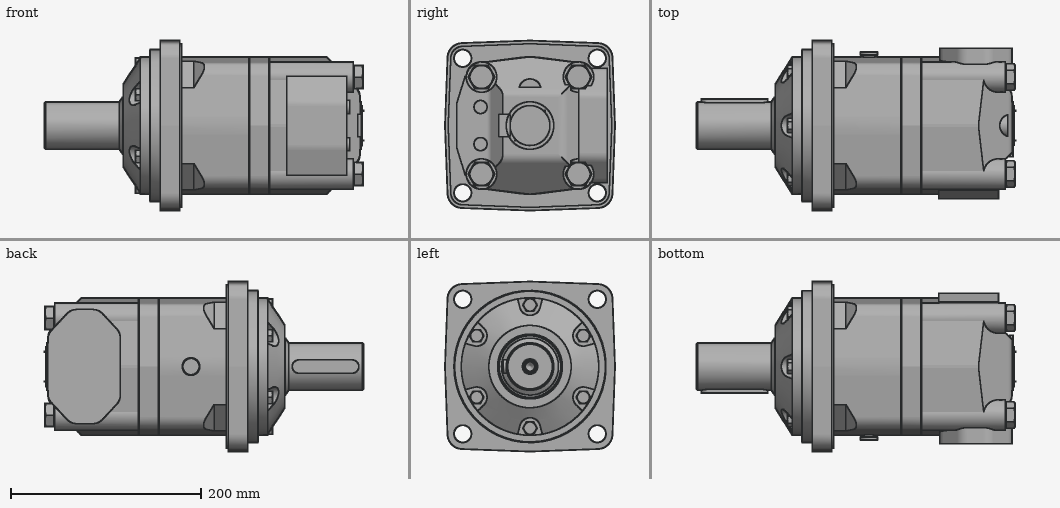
import cadquery as cq
import math


OVERALL_LENGTH = 335.5
SHAFT_TIP = -121.7
SHAFT_SHOULDER = -43.0
COVER_FRONT = -39.0
CONE_END = -20.8
PILOT_FRONT = -11.1
FLANGE_BACK = 20.7
FLANGE_STEP_BACK = 22.7
HOUSING_BACK = 93.0
RING_BACK = 115.0
POST_BACK = 203.0
REAR_FACE = 210.1
CAP_BACK = 212.6
RIVET_BACK = SHAFT_TIP + OVERALL_LENGTH

SIDE_REACH = 72.3
BOLT_OFFSET = 51.0
CORNER_RADIUS = 30.29 / 2

RING_LIP_WIDTH = 1.0
RING_LIP_INSET = 0.5

SHAFT_RADIUS = 25.0
SHAFT_CHAMFER = 1.5
JOURNAL_RADIUS = 30.0
JOURNAL_START = -39.5
SHAFT_INNER_END = 15.0
CENTRE_HOLE_DIAMETER = 10.11
CENTRE_HOLE_DEPTH = 25.0
COUNTERSINK_DIAMETER = 16.0
RECESS_DIAMETER = 13.0
RECESS_DEPTH = 4.5
KEY_START = -116.7
KEY_LENGTH = 70.0
KEY_WIDTH = 14.0
KEY_BOTTOM = 19.0
KEY_TOP = 28.0

COVER_FACE_RADIUS = 43.3
SEAL_RECESS_RADIUS = 32.4
SEAL_RECESS_DEPTH = 3.0
SEAL_STEP_RADIUS = 34.1
SEAL_STEP_DEPTH = 1.5
SCREW_COUNT = 6
SCREW_CIRCLE_RADIUS = 64.7
SCREW_ACROSS_FLATS = 13.0
SCREW_HEAD_HEIGHT = 5.2
SCREW_POCKET_RADIUS = 10.9
SCREW_POCKET_FLARE = math.radians(15)
SCREW_POCKET_REACH = 20.0

FLANGE_WIDTH = 179.0
FLANGE_SIDE_SAG = 3.2
FLANGE_CORNER_RADIUS = 16.0
FLANGE_STEP_INSET = 3.5
FLANGE_HOLE_DIAMETER = 18.0
FLANGE_BOLT_CIRCLE = 200.0
FLANGE_HOLE_OFFSET = FLANGE_BOLT_CIRCLE / 2 * math.sqrt(0.5)
PILOT_RADIUS = 80.0
PILOT_CHAMFER = 0.8
RELIEF_DEPTH_REACH = 76.1
RELIEF_FLAT_END = 35.3
RELIEF_RAMP_END = 46.6

PLUG_X = 59.7
PLUG_HEAD_DIAMETER = 18.4
PLUG_NECK_DIAMETER = 17.0
PLUG_BOTTOM = 62.0
PLUG_HEAD_BOTTOM = 73.8
PLUG_TOP = 77.6
PLUG_CHAMFER = 0.6

RIDGE_HALF_WIDTH = 1.6
SLOPE_START = 174.9
SLOPE_ANGLE = math.radians(46.3)
SLOPE_BLEND_RADIUS = 13.5
POST_RADIUS = 16.0
BOLT_WASHER_RADIUS = 12.0
BOLT_WASHER_THICKNESS = 1.0
BOLT_ACROSS_FLATS = 24.4
BOLT_HEAD_HEIGHT = 9.2

PORT_START = 133.0
PORT_END = 196.0
PORT_REACH = 77.1
PORT_HALF_FLAT = 23.2
PORT_HALF_HEIGHT = 52.0
PORT_SLANT_DROP = 9.0
PORT_EDGE_RADIUS = 17.0
PORT_PLUG_DIAMETER = 13.84
PORT_PLUG_SPACING = 39.0
PORT_PLUG_DEPTH = 52.0
PORT_PLUG_END = 199.0

PORT_SLOPE_REACH = 28.5
PORT_BLOCK_BASE = 38.0
END_PAD_REACH = 33.0
END_PAD_DEPTH = 12.0
END_PAD_WIDTH = 24.0
END_PAD_CORNER_RADIUS = 1.5
END_PAD_FRONT = 207.8
END_PAD_BACK = 211.2
PORT_ROOT_RADIUS = 5.8

VALVE_START = 134.0
VALVE_END = REAR_FACE
VALVE_REACH = 81.4
VALVE_HALF_HEIGHT = 60.0
VALVE_TOP_START = 156.8
VALVE_TOP_END = 186.0
VALVE_SLOPE_TAN = math.tan(math.radians(47))
VALVE_EDGE_RADIUS = 14.0

SLOPE_BOSS_RADIUS = 11.7
SLOPE_BOSS_OFFSET = 37.3
SLOPE_BOSS_END = 205.5

CAP_RADIUS = 25.0
CAP_TOP_RADIUS = 21.0
CAP_STEP_BACK = 211.4
RIVET_OFFSET = 15.7
RIVET_DIAMETER = 1.0


def section(x):
    """Workplane across the motor axis at x: local axes are Y and Z, normal +X."""
    return cq.Workplane("YZ", origin=(x, 0, 0))


def turned(points):
    """Solid of revolution about the motor axis from (x, radius) points."""
    return cq.Workplane("XY").polyline(points).close().revolve(360, (0, 0, 0), (1, 0, 0))


def corner_points(offset):
    return [(y, z) for y in (-offset, offset) for z in (-offset, offset)]


def slant_angle(a, b, c):
    """Smallest angle t with a * sin(t) + b * cos(t) = c."""
    return math.asin(c / math.hypot(a, b)) - math.atan2(b, a)


def body_prism(x_start, x_end, slant, ridge, corner_radius=CORNER_RADIUS):
    """Four-sided prism with slanted sides, round corners and a ridge along the middle of each side.

    `slant` is the tilt of the half sides and `ridge` lists the (across, outward) points of one
    side's ridge: one point for a sharp edge, two for a flat, three for an arc.
    """
    across = BOLT_OFFSET + corner_radius * math.sin(slant)
    outward = BOLT_OFFSET + corner_radius * math.cos(slant)
    corner_middle = BOLT_OFFSET + corner_radius * math.sqrt(0.5)

    def turn(point, quarter):
        angle = -quarter * math.pi / 2
        y, z = point
        return (
            y * math.cos(angle) - z * math.sin(angle),
            y * math.sin(angle) + z * math.cos(angle),
        )

    outline = section(x_start).moveTo(-across, outward)
    for quarter in range(4):
        ridge_points = [turn(point, quarter) for point in ridge]
        outline = outline.lineTo(*ridge_points[0])
        if len(ridge_points) == 2:
            outline = outline.lineTo(*ridge_points[1])
        if len(ridge_points) == 3:
            outline = outline.threePointArc(*ridge_points[1:])
        outline = outline.lineTo(*turn((across, outward), quarter))
        outline = outline.threePointArc(
            turn((corner_middle, corner_middle), quarter), turn((outward, across), quarter)
        )
    return outline.close().extrude(x_end - x_start)


def hex_head(x_start, x_tip, y, z, across_flats):
    """Hexagon head from x_start to its chamfered end at x_tip, with flats facing +Z and -Z."""
    corner_radius = across_flats / 2 / math.cos(math.pi / 6)
    height = abs(x_tip - x_start)
    direction = math.copysign(1, x_tip - x_start)
    chamfer = (corner_radius - across_flats / 2) * math.tan(math.pi / 6)
    rounding = (
        cq.Workplane("XY")
        .polyline([
            (0, 0),
            (0, corner_radius),
            (direction * (height - chamfer), corner_radius),
            (direction * height, across_flats / 2),
            (direction * height, 0),
        ])
        .close()
        .revolve(360, (0, 0, 0), (1, 0, 0))
    )
    hexagon = section(0).polygon(6, 2 * corner_radius).extrude(direction * height)
    return hexagon.intersect(rounding).translate((x_start, y, z))


def make_key():
    middle = KEY_START + KEY_LENGTH / 2
    plane = cq.Plane(origin=(middle, KEY_BOTTOM, 0), xDir=(1, 0, 0), normal=(0, 1, 0))
    return cq.Workplane(plane).slot2D(KEY_LENGTH, KEY_WIDTH).extrude(KEY_TOP - KEY_BOTTOM)


def make_shaft(key):
    shaft = turned([
        (SHAFT_TIP, 0),
        (SHAFT_TIP, SHAFT_RADIUS - SHAFT_CHAMFER),
        (SHAFT_TIP + SHAFT_CHAMFER, SHAFT_RADIUS),
        (SHAFT_SHOULDER, SHAFT_RADIUS),
        (JOURNAL_START, JOURNAL_RADIUS),
        (SHAFT_INNER_END, JOURNAL_RADIUS),
        (SHAFT_INNER_END, 0),
    ])
    hole_radius = CENTRE_HOLE_DIAMETER / 2
    countersink_radius = COUNTERSINK_DIAMETER / 2
    recess_radius = RECESS_DIAMETER / 2
    recess_end = SHAFT_TIP + RECESS_DEPTH
    hole_end = SHAFT_TIP + CENTRE_HOLE_DEPTH
    centre_hole = turned([
        (SHAFT_TIP, 0),
        (SHAFT_TIP, countersink_radius),
        (SHAFT_TIP + countersink_radius - recess_radius, recess_radius),
        (recess_end, recess_radius),
        (recess_end + recess_radius - hole_radius, hole_radius),
        (hole_end, hole_radius),
        (hole_end + hole_radius, 0),
    ])
    return shaft.cut(centre_hole).cut(key)


def screw_pocket():
    """Cutter for the top screw: round towards the axis, flaring open towards the rim."""
    half_inner = SCREW_POCKET_RADIUS * math.cos(SCREW_POCKET_FLARE)
    tangent_z = SCREW_CIRCLE_RADIUS - SCREW_POCKET_RADIUS * math.sin(SCREW_POCKET_FLARE)
    half_outer = half_inner + SCREW_POCKET_REACH * math.tan(SCREW_POCKET_FLARE)
    outer_z = tangent_z + SCREW_POCKET_REACH
    return (
        section(COVER_FRONT)
        .moveTo(-half_inner, tangent_z)
        .threePointArc((0, SCREW_CIRCLE_RADIUS - SCREW_POCKET_RADIUS), (half_inner, tangent_z))
        .lineTo(half_outer, outer_z)
        .lineTo(-half_outer, outer_z)
        .close()
        .extrude(CONE_END - COVER_FRONT)
    )


def make_cover():
    recess_floor = COVER_FRONT + SEAL_RECESS_DEPTH
    step_floor = COVER_FRONT + SEAL_STEP_DEPTH
    cover = turned([
        (COVER_FRONT, SEAL_STEP_RADIUS),
        (COVER_FRONT, COVER_FACE_RADIUS),
        (CONE_END, SIDE_REACH),
        (PILOT_FRONT, SIDE_REACH),
        (PILOT_FRONT, JOURNAL_RADIUS),
        (recess_floor, JOURNAL_RADIUS),
        (recess_floor, SEAL_RECESS_RADIUS),
        (step_floor, SEAL_RECESS_RADIUS),
        (step_floor, SEAL_STEP_RADIUS),
    ])
    pocket = screw_pocket()
    for i in range(SCREW_COUNT):
        cover = cover.cut(pocket.rotate((0, 0, 0), (1, 0, 0), i * 360 / SCREW_COUNT))
    for i in range(SCREW_COUNT):
        angle = math.pi / 2 + i * 2 * math.pi / SCREW_COUNT
        y = SCREW_CIRCLE_RADIUS * math.cos(angle)
        z = SCREW_CIRCLE_RADIUS * math.sin(angle)
        head_tip = CONE_END - SCREW_HEAD_HEIGHT
        cover = cover.union(hex_head(CONE_END, head_tip, y, z, SCREW_ACROSS_FLATS))
    return cover


def make_plug():
    plane = cq.Plane(origin=(PLUG_X, PLUG_BOTTOM, 0), xDir=(1, 0, 0), normal=(0, 1, 0))
    neck = cq.Workplane(plane).circle(PLUG_NECK_DIAMETER / 2).extrude(PLUG_HEAD_BOTTOM - PLUG_BOTTOM)
    head = (
        cq.Workplane(plane)
        .workplane(offset=PLUG_HEAD_BOTTOM - PLUG_BOTTOM)
        .circle(PLUG_HEAD_DIAMETER / 2)
        .extrude(PLUG_TOP - PLUG_HEAD_BOTTOM)
        .edges()
        .chamfer(PLUG_CHAMFER)
    )
    return neck.union(head)


def flange_plate(x_start, x_end, half_width, corner_radius):
    """Square plate with round corners whose straight sides rise to a faint ridge in the middle."""
    corner = half_width - FLANGE_SIDE_SAG
    plate = (
        section(x_start)
        .polyline([
            (-corner, corner),
            (0, half_width),
            (corner, corner),
            (half_width, 0),
            (corner, -corner),
            (0, -half_width),
            (-corner, -corner),
            (-half_width, 0),
        ])
        .close()
        .extrude(x_end - x_start)
    )
    for y, z in corner_points(corner):
        corner_edge = cq.selectors.NearestToPointSelector(((x_start + x_end) / 2, y, z))
        plate = plate.edges("|X").edges(corner_edge).fillet(corner_radius)
    return plate


def corner_relief():
    """Cutter for the +Z corner of the housing, turned 45 degrees: a flat and a ramp out."""
    ramp_rise = RELIEF_RAMP_END - RELIEF_FLAT_END
    width = 2 * SIDE_REACH
    return (
        cq.Workplane("XZ", origin=(0, width / 2, 0))
        .polyline([
            (FLANGE_STEP_BACK, RELIEF_DEPTH_REACH),
            (RELIEF_FLAT_END, RELIEF_DEPTH_REACH),
            (RELIEF_RAMP_END, RELIEF_DEPTH_REACH + ramp_rise),
            (RELIEF_RAMP_END, 2 * SIDE_REACH),
            (FLANGE_STEP_BACK, 2 * SIDE_REACH),
        ])
        .close()
        .extrude(width)
    )


def make_housing(shaft, plug):
    slant = slant_angle(BOLT_OFFSET, BOLT_OFFSET, SIDE_REACH - CORNER_RADIUS)
    arc_y = SIDE_REACH * math.sin(slant)
    arc_z = SIDE_REACH * math.cos(slant)
    barrel = body_prism(
        FLANGE_BACK, HOUSING_BACK, slant, [(-arc_y, arc_z), (0, SIDE_REACH), (arc_y, arc_z)]
    )
    relief = corner_relief()
    for i in range(4):
        barrel = barrel.cut(relief.rotate((0, 0, 0), (1, 0, 0), 45 + 90 * i))

    half_width = FLANGE_WIDTH / 2
    flange = flange_plate(0, FLANGE_BACK, half_width, FLANGE_CORNER_RADIUS)
    step = flange_plate(
        FLANGE_BACK,
        FLANGE_STEP_BACK,
        half_width - FLANGE_STEP_INSET,
        FLANGE_CORNER_RADIUS - FLANGE_STEP_INSET,
    )
    holes = (
        section(0)
        .pushPoints(corner_points(FLANGE_HOLE_OFFSET))
        .circle(FLANGE_HOLE_DIAMETER / 2)
        .extrude(FLANGE_STEP_BACK)
    )
    pilot = (
        section(PILOT_FRONT)
        .circle(PILOT_RADIUS)
        .extrude(-PILOT_FRONT)
        .faces("<X")
        .chamfer(PILOT_CHAMFER)
    )
    return flange.union(step).cut(holes).union(pilot).union(barrel).cut(shaft).cut(plug)


def make_gear_ring():
    """Ring with a slightly inset lip at each end, which leaves a fine groove at each joint."""
    slant = slant_angle(BOLT_OFFSET, BOLT_OFFSET - SIDE_REACH, -CORNER_RADIUS)
    lips = body_prism(
        HOUSING_BACK,
        RING_BACK,
        slant,
        [(0, SIDE_REACH - RING_LIP_INSET / math.cos(slant))],
        CORNER_RADIUS - RING_LIP_INSET,
    )
    band = body_prism(
        HOUSING_BACK + RING_LIP_WIDTH, RING_BACK - RING_LIP_WIDTH, slant, [(0, SIDE_REACH)]
    )
    return lips.union(band)


def port_block():
    """Block with a flat middle and slanted upper and lower faces, blended by round edges."""
    block = (
        section(PORT_START)
        .polyline([
            (-PORT_BLOCK_BASE, -PORT_HALF_HEIGHT),
            (PORT_SLANT_DROP - PORT_REACH, -PORT_HALF_HEIGHT),
            (-PORT_REACH, -PORT_HALF_FLAT),
            (-PORT_REACH, PORT_HALF_FLAT),
            (PORT_SLANT_DROP - PORT_REACH, PORT_HALF_HEIGHT),
            (-PORT_BLOCK_BASE, PORT_HALF_HEIGHT),
        ])
        .close()
        .extrude(PORT_END - PORT_START)
    )
    margin = 1.0
    flat_edges = cq.selectors.BoxSelector(
        (PORT_START, -PORT_REACH - margin, -PORT_HALF_FLAT - margin),
        (PORT_END, -PORT_REACH + margin, PORT_HALF_FLAT + margin),
    )
    return block.edges("|X").edges(flat_edges).fillet(PORT_EDGE_RADIUS)


def port_root():
    """Concave root fillet between the back of the port block and the slope behind it."""
    root_y = -PORT_SLOPE_REACH - (REAR_FACE - PORT_END)
    tangent = PORT_ROOT_RADIUS * math.tan(math.pi / 8)
    wall_point = (PORT_END, root_y - tangent)
    slope_point = (
        PORT_END + tangent * math.sqrt(0.5),
        root_y + tangent * math.sqrt(0.5),
    )
    arc_middle = (
        PORT_END + PORT_ROOT_RADIUS * (1 - math.cos(math.pi / 8)),
        root_y - tangent + PORT_ROOT_RADIUS * math.sin(math.pi / 8),
    )
    return (
        cq.Workplane("XY", origin=(0, 0, -BOLT_OFFSET))
        .moveTo(*wall_point)
        .threePointArc(arc_middle, slope_point)
        .lineTo(PORT_END, root_y)
        .close()
        .extrude(2 * BOLT_OFFSET)
    )


def port_plugs():
    return (
        section(PORT_START)
        .pushPoints([(-PORT_PLUG_DEPTH, side * PORT_PLUG_SPACING / 2) for side in (-1, 1)])
        .circle(PORT_PLUG_DIAMETER / 2)
        .extrude(PORT_PLUG_END - PORT_START)
    )


def valve_boss():
    """Six-sided boss with round corners, standing out on the +Y side."""
    front_z = VALVE_HALF_HEIGHT - (VALVE_TOP_START - VALVE_START) * VALVE_SLOPE_TAN
    back_z = VALVE_HALF_HEIGHT - (VALVE_END - VALVE_TOP_END) * VALVE_SLOPE_TAN
    upper = [
        (VALVE_START, front_z),
        (VALVE_TOP_START, VALVE_HALF_HEIGHT),
        (VALVE_TOP_END, VALVE_HALF_HEIGHT),
        (VALVE_END, back_z),
    ]
    lower = [(x, -z) for x, z in reversed(upper)]
    return (
        cq.Workplane("XZ", origin=(0, VALVE_REACH, 0))
        .polyline(upper + lower)
        .close()
        .extrude(VALVE_REACH - BOLT_OFFSET)
        .edges("|Y")
        .fillet(VALVE_EDGE_RADIUS)
    )


def slope_cutter():
    """Cutter over the +Z side of the rear end: a slope that blends into the rear face."""
    meet_z = SIDE_REACH - (REAR_FACE - SLOPE_START) * math.tan(SLOPE_ANGLE)
    half = (math.pi / 2 - SLOPE_ANGLE) / 2
    tangent = SLOPE_BLEND_RADIUS * math.tan(half)
    centre = (REAR_FACE - SLOPE_BLEND_RADIUS, meet_z - tangent)
    slope_point = (REAR_FACE - tangent * math.cos(SLOPE_ANGLE), meet_z + tangent * math.sin(SLOPE_ANGLE))
    arc_middle = (
        centre[0] + SLOPE_BLEND_RADIUS * math.cos(half),
        centre[1] + SLOPE_BLEND_RADIUS * math.sin(half),
    )
    width = 3 * SIDE_REACH
    top = 2 * SIDE_REACH
    lead = (top - SIDE_REACH) / math.tan(SLOPE_ANGLE)
    return (
        cq.Workplane("XZ", origin=(0, width / 2, 0))
        .moveTo(REAR_FACE, meet_z - tangent)
        .threePointArc(arc_middle, slope_point)
        .lineTo(SLOPE_START - lead, top)
        .lineTo(REAR_FACE, top)
        .close()
        .extrude(width)
    )


def port_side_cutter():
    """Cutter for the -Y side of the rear end: a plain 45 degree slope behind the port block."""
    outer = 2 * SIDE_REACH
    width = 3 * SIDE_REACH
    return (
        cq.Workplane("XY", origin=(0, 0, -width / 2))
        .polyline([
            (REAR_FACE, -PORT_SLOPE_REACH),
            (REAR_FACE, -outer),
            (REAR_FACE - outer + PORT_SLOPE_REACH, -outer),
        ])
        .close()
        .extrude(width)
    )


def end_pad():
    """Low pad on the rear face that overhangs the top of the port-side slope."""
    return (
        section(END_PAD_FRONT)
        .center(-(END_PAD_REACH - END_PAD_DEPTH / 2), 0)
        .rect(END_PAD_DEPTH, END_PAD_WIDTH)
        .extrude(END_PAD_BACK - END_PAD_FRONT)
        .edges("|X")
        .fillet(END_PAD_CORNER_RADIUS)
    )


def make_rear_housing():
    slant = slant_angle(BOLT_OFFSET - RIDGE_HALF_WIDTH, BOLT_OFFSET - SIDE_REACH, -CORNER_RADIUS)
    ridge = [(-RIDGE_HALF_WIDTH, SIDE_REACH), (RIDGE_HALF_WIDTH, SIDE_REACH)]
    rear = body_prism(RING_BACK, REAR_FACE, slant, ridge)
    cutter = slope_cutter()
    for angle in (0, 180, -90):
        rear = rear.cut(cutter.rotate((0, 0, 0), (1, 0, 0), angle))
    rear = rear.cut(port_side_cutter())
    slope_boss = (
        section(RING_BACK)
        .center(0, SLOPE_BOSS_OFFSET)
        .circle(SLOPE_BOSS_RADIUS)
        .extrude(SLOPE_BOSS_END - RING_BACK)
    )
    rear = rear.union(slope_boss).union(end_pad()).union(valve_boss())
    rear = rear.union(port_block()).union(port_root()).union(port_plugs())
    head_start = POST_BACK + BOLT_WASHER_THICKNESS
    for y, z in corner_points(BOLT_OFFSET):
        post = section(RING_BACK).center(y, z).circle(POST_RADIUS).extrude(POST_BACK - RING_BACK)
        washer = section(POST_BACK).center(y, z).circle(BOLT_WASHER_RADIUS).extrude(BOLT_WASHER_THICKNESS)
        head = hex_head(head_start, head_start + BOLT_HEAD_HEIGHT, y, z, BOLT_ACROSS_FLATS)
        rear = rear.union(post).union(washer).union(head)
    return rear


def make_rear_cap(rear_housing):
    """Stepped disc on the rear face, held by two small rivets."""
    cap = turned([
        (REAR_FACE, 0),
        (REAR_FACE, CAP_RADIUS),
        (CAP_STEP_BACK, CAP_RADIUS),
        (CAP_STEP_BACK, CAP_TOP_RADIUS),
        (CAP_BACK, CAP_TOP_RADIUS),
        (CAP_BACK, 0),
    ])
    rivets = (
        section(REAR_FACE)
        .pushPoints([(RIVET_OFFSET, RIVET_OFFSET), (-RIVET_OFFSET, -RIVET_OFFSET)])
        .circle(RIVET_DIAMETER / 2)
        .extrude(RIVET_BACK - REAR_FACE)
    )
    return cap.union(rivets).cut(rear_housing)


key = make_key()
shaft = make_shaft(key)
cover = make_cover()
plug = make_plug()
housing = make_housing(shaft, plug)
gear_ring = make_gear_ring()
rear_housing = make_rear_housing()
rear_cap = make_rear_cap(rear_housing)

result = cq.Compound.makeCompound([
    shaft.val(),
    key.val(),
    cover.val(),
    housing.val(),
    plug.val(),
    gear_ring.val(),
    rear_housing.val(),
    rear_cap.val(),
])